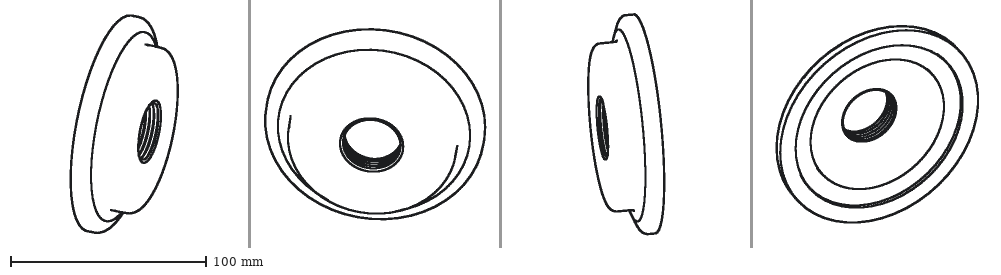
import cadquery as cq
import math

total_length = 21.9
rim_width = 4.1
bevel_start = 6.4
flange_thickness = 8.6

flange_radius = 56.4
bevel_outer_radius = 54.5
bevel_inner_radius = 49.4
rim_arc_mid_station = 5.5
rim_arc_mid_radius = 55.7
boss_radius = 43.3
root_fillet = 2.3
boss_edge_fillet = 3.4

seat_radius = 47.6
seat_depth = 2.3
pocket_radius = 38.0
pocket_floor = 11.6
pocket_fillet = 3.2

mouth_radius = 15.5
crest_radius = 14.8
thread_pitch = 2.3
thread_turns = 4

diagonal = math.sqrt(0.5)


def make_body():
    """Revolved flange with a bevelled rim and a rounded boss."""
    rim_arc_middle = (rim_arc_mid_station, rim_arc_mid_radius)
    root_middle = (
        flange_thickness + root_fillet * (1 - diagonal),
        boss_radius + root_fillet * (1 - diagonal),
    )
    edge_middle = (
        total_length - boss_edge_fillet * (1 - diagonal),
        boss_radius - boss_edge_fillet * (1 - diagonal),
    )
    profile = (
        cq.Workplane("XY")
        .lineTo(0, flange_radius)
        .lineTo(rim_width, flange_radius)
        .threePointArc(rim_arc_middle, (bevel_start, bevel_outer_radius))
        .lineTo(flange_thickness, bevel_inner_radius)
        .lineTo(flange_thickness, boss_radius + root_fillet)
        .threePointArc(root_middle, (flange_thickness + root_fillet, boss_radius))
        .lineTo(total_length - boss_edge_fillet, boss_radius)
        .threePointArc(edge_middle, (total_length, boss_radius - boss_edge_fillet))
        .lineTo(total_length, 0)
        .close()
    )
    return profile.revolve(360, (0, 0, 0), (1, 0, 0))


def make_recess():
    """Shallow seat followed by a deeper pocket with a rounded floor edge."""
    seat = cq.Workplane("YZ").circle(seat_radius).extrude(seat_depth)
    pocket = (
        cq.Workplane("YZ")
        .circle(pocket_radius)
        .extrude(pocket_floor)
        .faces(">X")
        .edges()
        .fillet(pocket_fillet)
    )
    return seat.union(pocket)


def make_bore():
    """Bore with 60 degree V grooves between sharp crests; the last flank opens at the boss end."""
    flank_slope = math.tan(math.radians(60))
    half_pitch = thread_pitch / 2
    groove_radius = crest_radius + half_pitch * flank_slope
    first_crest = pocket_floor + (mouth_radius - crest_radius) / flank_slope
    profile = (
        cq.Workplane("XY")
        .moveTo(pocket_floor, 0)
        .lineTo(pocket_floor, mouth_radius)
        .lineTo(first_crest, crest_radius)
    )
    for turn in range(thread_turns):
        start = first_crest + turn * thread_pitch
        profile = profile.lineTo(start + half_pitch, groove_radius)
        profile = profile.lineTo(start + thread_pitch, crest_radius)
    last_crest = first_crest + thread_turns * thread_pitch
    exit_radius = crest_radius + (total_length - last_crest) * flank_slope
    profile = profile.lineTo(total_length, exit_radius).lineTo(total_length, 0).close()
    return profile.revolve(360, (0, 0, 0), (1, 0, 0))


result = make_body().cut(make_recess()).cut(make_bore())